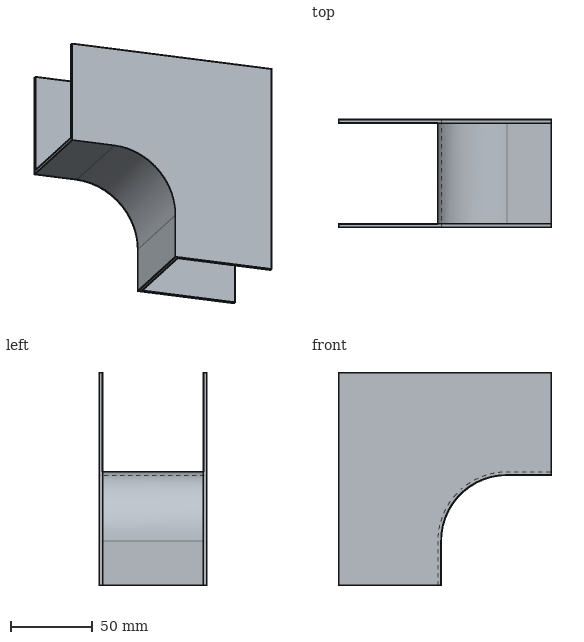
import cadquery as cq

side_length = 130.0
overall_depth = 65.9
wall_thickness = 2.2

leg_width = 62.7
outer_radius = 40.0
inner_radius = outer_radius + wall_thickness


def elbow_profile(width, radius):
    """Closed L-shaped outline in XZ; its inner corner is an arc of the given radius."""
    corner = side_length - width
    return (
        cq.Workplane("XZ", origin=(0, overall_depth / 2, 0))
        .moveTo(0, 0)
        .lineTo(width, 0)
        .lineTo(width, corner - radius)
        .radiusArc((width + radius, corner), radius)
        .lineTo(side_length, corner)
        .lineTo(side_length, side_length)
        .lineTo(0, side_length)
        .close()
    )


elbow = elbow_profile(leg_width, outer_radius).extrude(overall_depth)

channel_depth = overall_depth - 2 * wall_thickness
channel = (
    elbow_profile(leg_width - wall_thickness, inner_radius)
    .extrude(channel_depth)
    .translate((0, -wall_thickness, 0))
)

result = elbow.cut(channel)